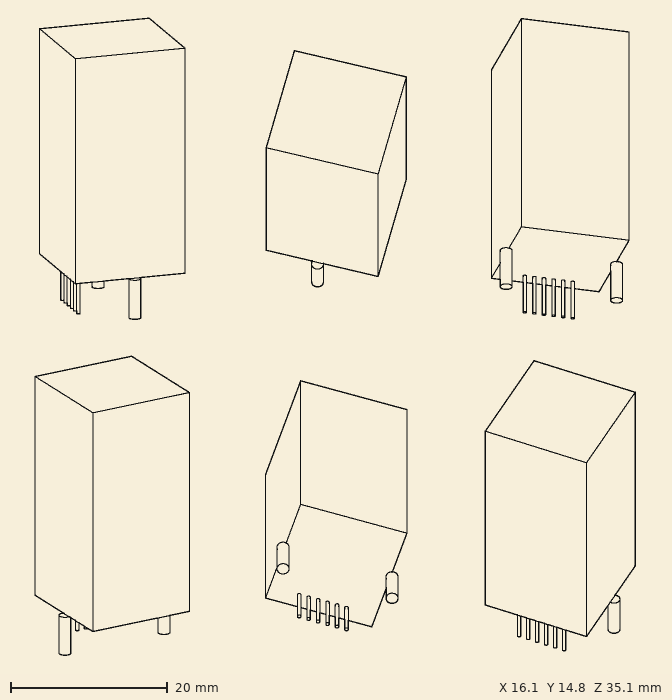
import cadquery as cq

overall_height = 35.13
lead_length = 5.2
housing_width = 14.23
housing_depth = 14.75
housing_height = overall_height - lead_length
front_face_y = -housing_depth / 2

post_diameter = 1.55
overall_width = 16.12
post_spacing = overall_width - post_diameter
post_setback = 7.95
post_y = front_face_y + post_setback

pin_diameter = 0.45
pin_count = 6
pin_pitch = 1.25
pin_setback = 1.75
pin_y = front_face_y + pin_setback


def make_housing():
    """Plain rectangular block standing on Z = 0."""
    return cq.Workplane("XY").box(
        housing_width, housing_depth, housing_height, centered=(True, True, False)
    )


def make_lead(diameter, x, y):
    """Round lead hanging down from the housing's underside."""
    return cq.Workplane("XY").center(x, y).circle(diameter / 2).extrude(-lead_length)


housing = make_housing()

posts = []
for side in (-1, 1):
    post = make_lead(post_diameter, side * post_spacing / 2, post_y)
    posts.append(post.val())

pins = []
for index in range(pin_count):
    pin_x = (index - (pin_count - 1) / 2) * pin_pitch
    pin = make_lead(pin_diameter, pin_x, pin_y)
    pins.append(pin.val())

result = cq.Compound.makeCompound([housing.val(), *posts, *pins])